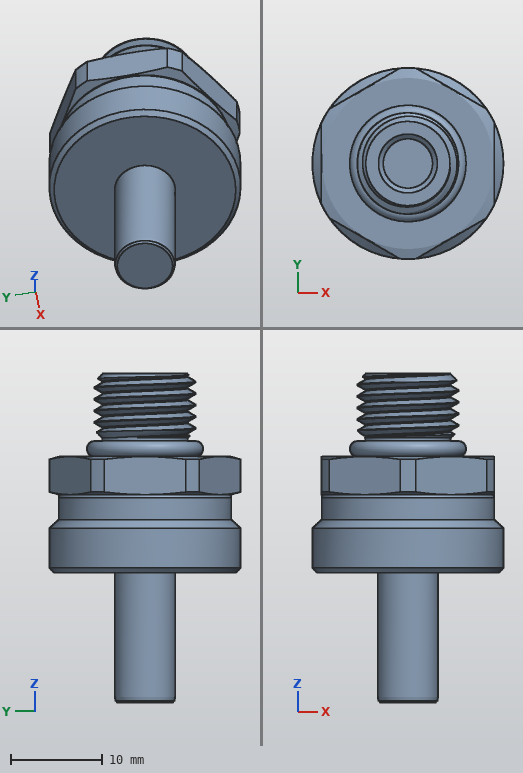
import cadquery as cq
import math

total_height = 36.1

flange_bottom_z = 14.22
flange_shoulder_z = 19.15
collar_bottom_z = 20.07
collar_top_z = 22.5
hex_bottom_z = 22.78
hex_top_z = 27.0

pin_diameter = 6.65
pin_edge_chamfer = 0.2
pin_taper_width = 0.07
pin_taper_top_z = 0.6

body_diameter = 21.0
flange_edge_chamfer = 0.55
collar_diameter = 19.0

across_flats = 19.0
hex_face_diameter = 18.77
hex_chamfer_height = 0.32

ring_section_radius = 0.85
ring_centre_radius = 5.52
ring_sink = 0.05

thread_diameter = 11.12
root_diameter = 9.4
thread_pitch = 1.27
thread_face_diameter = 9.25
crest_flat = 0.1
flank_angle = 30.0
thread_root_overlap = 0.07
thread_start_z = 27.87
thread_turns = 7
thread_bottom_z = 29.02

bore_diameter = 5.4
bore_mouth_diameter = 6.45
bore_depth = 9.02


def make_turned_body():
    """Pin, flange and collar as one revolved profile, up to the underside of the hexagon."""
    pin_radius = pin_diameter / 2
    taper_end_radius = pin_radius - pin_taper_width
    body_radius = body_diameter / 2
    collar_radius = collar_diameter / 2
    profile = [
        (0, 0),
        (taper_end_radius - pin_edge_chamfer, 0),
        (taper_end_radius, pin_edge_chamfer),
        (pin_radius, pin_taper_top_z),
        (pin_radius, flange_bottom_z),
        (body_radius - flange_edge_chamfer, flange_bottom_z),
        (body_radius, flange_bottom_z + flange_edge_chamfer),
        (body_radius, flange_shoulder_z),
        (collar_radius, collar_bottom_z),
        (collar_radius, collar_top_z),
        (hex_face_diameter / 2, hex_bottom_z),
        (0, hex_bottom_z),
    ]
    return cq.Workplane("XZ").polyline(profile).close().revolve(360, (0, 0), (0, 1))


def make_hexagon():
    """Hexagon trimmed by a turned blank that is chamfered at both ends."""
    height = hex_top_z - hex_bottom_z
    face_radius = hex_face_diameter / 2
    corner_radius = body_diameter / 2
    prism = (
        cq.Workplane("XY", origin=(0, 0, hex_bottom_z))
        .polygon(6, across_flats / math.cos(math.radians(30)))
        .extrude(height)
        .rotate((0, 0, 0), (0, 0, 1), 30)
    )
    blank_profile = [
        (0, hex_bottom_z),
        (face_radius, hex_bottom_z),
        (corner_radius, hex_bottom_z + hex_chamfer_height),
        (corner_radius, hex_top_z - hex_chamfer_height),
        (face_radius, hex_top_z),
        (0, hex_top_z),
    ]
    blank = cq.Workplane("XZ").polyline(blank_profile).close().revolve(360, (0, 0), (0, 1))
    return prism.intersect(blank)


def make_ring():
    """Round sealing ring, sunk slightly into the hexagon face."""
    centre_z = hex_top_z + ring_section_radius - ring_sink
    return (
        cq.Workplane("XZ")
        .center(ring_centre_radius, centre_z)
        .circle(ring_section_radius)
        .revolve(360, (-ring_centre_radius, 0), (-ring_centre_radius, 1))
    )


def make_helical_ridge():
    """Right-handed ridge of trapezoid section, its base buried in the thread core."""
    crest_radius = thread_diameter / 2
    root_radius = root_diameter / 2
    inner_radius = root_radius - thread_root_overlap
    half_crest = crest_flat / 2
    half_base = half_crest + (crest_radius - inner_radius) * math.tan(math.radians(flank_angle))
    section = [
        (inner_radius, thread_start_z - half_base),
        (crest_radius, thread_start_z - half_crest),
        (crest_radius, thread_start_z + half_crest),
        (inner_radius, thread_start_z + half_base),
    ]
    helix = cq.Wire.makeHelix(
        thread_pitch, thread_pitch * thread_turns, root_radius, center=cq.Vector(0, 0, thread_start_z)
    )
    return cq.Workplane("XZ").polyline(section).close().sweep(cq.Workplane(helix), isFrenet=True)


def make_core(bottom_z, top_z):
    """Cylinder at the thread root diameter between two levels."""
    return cq.Workplane("XY", origin=(0, 0, bottom_z)).circle(root_diameter / 2).extrude(top_z - bottom_z)


def make_thread():
    """Threaded end: core and ridge trimmed by a 45 degree cone at each end, standing on a plain neck."""
    root_radius = root_diameter / 2
    face_radius = thread_face_diameter / 2
    top_cone_profile = [
        (0, hex_bottom_z),
        (face_radius + total_height - hex_bottom_z, hex_bottom_z),
        (face_radius, total_height),
        (0, total_height),
    ]
    bottom_cone_profile = [
        (0, hex_top_z),
        (root_radius - (thread_bottom_z - hex_top_z), hex_top_z),
        (root_radius + total_height - thread_bottom_z, total_height),
        (0, total_height),
    ]
    thread = make_helical_ridge().union(make_core(hex_bottom_z, total_height + thread_pitch))
    for profile in (top_cone_profile, bottom_cone_profile):
        cone = cq.Workplane("XZ").polyline(profile).close().revolve(360, (0, 0), (0, 1))
        thread = thread.intersect(cone)
    neck_top_z = thread_bottom_z + thread_pitch
    return thread.union(make_core(hex_bottom_z, neck_top_z))


def make_bore():
    """Blind bore from the threaded end with a 45 degree countersunk mouth."""
    bore_radius = bore_diameter / 2
    mouth_radius = bore_mouth_diameter / 2
    bore_floor_z = total_height - bore_depth
    profile = [
        (0, bore_floor_z),
        (bore_radius, bore_floor_z),
        (bore_radius, total_height - (mouth_radius - bore_radius)),
        (mouth_radius, total_height),
        (0, total_height),
    ]
    return cq.Workplane("XZ").polyline(profile).close().revolve(360, (0, 0), (0, 1))


result = (
    make_turned_body()
    .union(make_hexagon())
    .union(make_thread())
    .union(make_ring())
    .cut(make_bore())
)